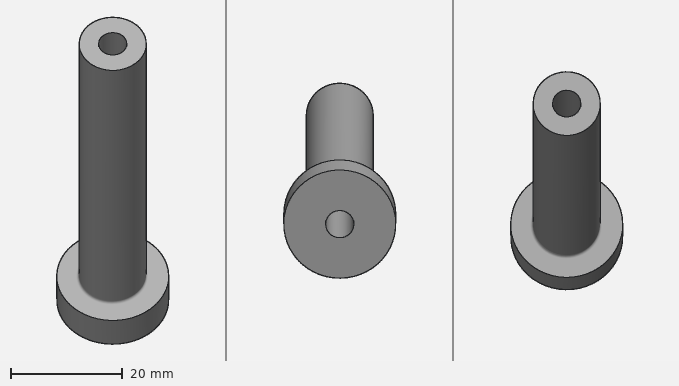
import cadquery as cq

total_length = 75.0
head_diameter = 20.0
head_height = 7.0
shank_diameter = 12.0
bore_diameter = 5.0
neck_fillet_radius = 0.5

head_radius = head_diameter / 2
shank_radius = shank_diameter / 2
bore_radius = bore_diameter / 2

half_section = (
    cq.Workplane("XZ")
    .moveTo(bore_radius, 0)
    .lineTo(head_radius, 0)
    .lineTo(head_radius, head_height)
    .lineTo(shank_radius + neck_fillet_radius, head_height)
    .radiusArc((shank_radius, head_height + neck_fillet_radius), neck_fillet_radius)
    .lineTo(shank_radius, total_length)
    .lineTo(bore_radius, total_length)
    .close()
)

result = half_section.revolve(360, (0, 0, 0), (0, 1, 0))